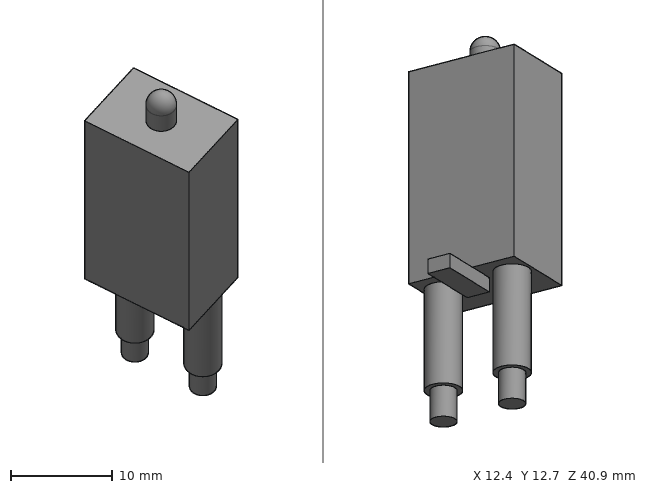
import cadquery as cq

body_width = 12.45
body_depth = 8.64
body_height = 22.86

lamp_diameter = 3.05
lamp_height = 3.77
lamp_radius = lamp_diameter / 2

pin_spacing = 8.1
pin_offset_x = 0.05
pin_offset_y = 1.27
pin_diameter = 3.81
pin_shoulder_length = 10.9
pin_tip_diameter = 2.7
overall_height = 40.87
pin_length = overall_height - body_height - lamp_height

overall_depth = 12.7
tab_width = 2.6
tab_thickness = 1.55
tab_outer_y = overall_depth - body_depth / 2
tab_inner_y = pin_offset_y


def make_body():
    return cq.Workplane("XY").box(
        body_width, body_depth, body_height, centered=(True, True, False)
    )


def make_lamp():
    """Cylinder closed by a hemisphere."""
    straight_height = lamp_height - lamp_radius
    cylinder = cq.Workplane("XY").workplane(offset=body_height).circle(lamp_radius).extrude(straight_height)
    dome = cq.Workplane("XY").sphere(lamp_radius).translate((0, 0, body_height + straight_height))
    return cylinder.union(dome)


def make_pin(x):
    """Stepped round pin hanging from the housing at the given X."""
    axis = cq.Workplane("XY").center(x, pin_offset_y)
    shoulder = axis.circle(pin_diameter / 2).extrude(-pin_shoulder_length)
    core = axis.circle(pin_tip_diameter / 2).extrude(-pin_length)
    return shoulder.union(core)


def make_tab():
    tab_length = tab_outer_y - tab_inner_y
    return (
        cq.Workplane("XY")
        .center(0, tab_inner_y + tab_length / 2)
        .rect(tab_width, tab_length)
        .extrude(-tab_thickness)
    )


result = make_body().union(make_lamp()).union(make_tab())
for side in (-1, 1):
    result = result.union(make_pin(pin_offset_x + side * pin_spacing / 2))